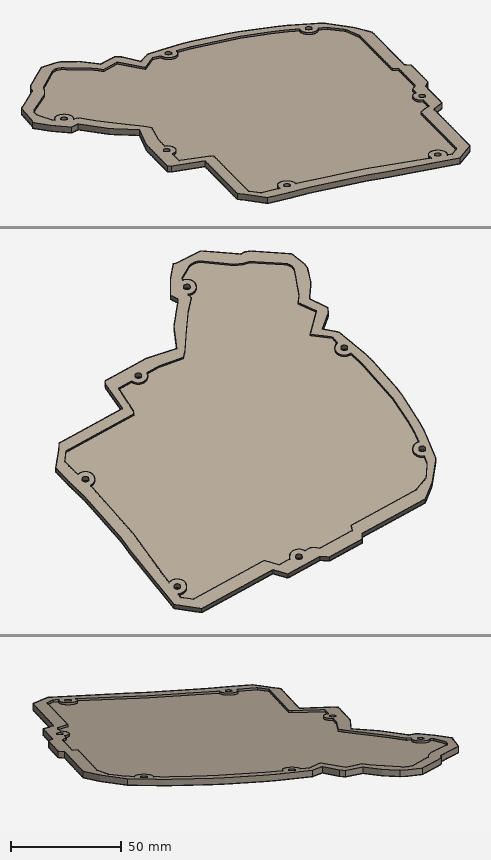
import cadquery as cq

WIDTH = 160.9
LENGTH = 179.3
THICKNESS = 3.0

RECESS_DEPTH = 1.0
FLOOR_HEIGHT = THICKNESS - RECESS_DEPTH

HOLE_DIAMETER = 3.0
PAD_DIAMETER = 8.6
MIDDLE_HOLE_X = 98.6
SCREW_POSITIONS = [
    (17.2, 152.0),
    (MIDDLE_HOLE_X, 171.3),
    (153.7, 153.9),
    (152.5, 79.3),
    (MIDDLE_HOLE_X, 44.0),
    (51.3, 14.5),
    (13.0, 84.1),
]

BACK_TAB_Y = LENGTH
BACK_EDGE_Y = 176.6
BACK_RIGHT_EDGE_Y = 170.7
FRONT_RIGHT_EDGE_Y = 55.4
FRONT_MIDDLE_EDGE_Y = 37.8

BACK_RIM = 6.6
FRONT_RIGHT_RIM = 5.5
FRONT_MIDDLE_RIM = 7.0

outer_back = [
    (24.7, 170.7),
    (32.6, BACK_EDGE_Y),
    (67.6, BACK_EDGE_Y),
    (69.2, BACK_TAB_Y),
    (87.3, BACK_TAB_Y),
    (90.7, BACK_EDGE_Y),
    (108.5, BACK_EDGE_Y),
    (112.6, BACK_RIGHT_EDGE_Y),
    (151.9, BACK_RIGHT_EDGE_Y),
]
outer_right = [
    (WIDTH, 161.5),
    (159.2, 124.3),
    (158.5, 116.2),
    (158.5, 87.5),
    (159.5, 76.2),
    (159.8, 66.2),
]
outer_front = [
    (152.5, 58.1),
    (150.5, FRONT_RIGHT_EDGE_Y),
    (115.3, FRONT_RIGHT_EDGE_Y),
    (113.7, 39.5),
    (112.8, FRONT_MIDDLE_EDGE_Y),
    (90.0, FRONT_MIDDLE_EDGE_Y),
    (75.3, 41.0),
]
outer_lobe = [
    (68.9, 29.4),
    (58.6, 18.1),
    (60.3, 14.2),
    (54.9, 6.5),
    (48.8, 0),
    (47.7, 0.5),
    (34.3, 1.0),
    (20.5, 13.0),
    (18.3, 13.0),
    (15.6, 14.2),
    (1.5, 26.0),
    (0, 34.0),
    (0.2, 36.8),
    (3.5, 44.3),
]
outer_notches = [
    (9.7, 51.8),
    (5.7, 60.8),
    (7.2, 63.3),
    (12.5, 67.6),
    (14.9, 69.4),
]
outer_left = [
    (9.7, 75.3),
    (7.0, 92.7),
    (6.6, 98.0),
    (6.6, 116.7),
    (7.0, 122.0),
    (9.5, 139.2),
    (10.5, 144.5),
    (15.2, 160.1),
]
outer_outline = outer_back + outer_right + outer_front + outer_lobe + outer_notches + outer_left

recess_back_y = BACK_EDGE_Y - BACK_RIM
recess_tab_y = BACK_TAB_Y - BACK_RIM
recess_back_right_y = BACK_RIGHT_EDGE_Y - BACK_RIM
recess_front_right_y = FRONT_RIGHT_EDGE_Y + FRONT_RIGHT_RIM
recess_front_middle_y = FRONT_MIDDLE_EDGE_Y + FRONT_MIDDLE_RIM

recess_back = [
    (20.0, 160.1),
    (25.3, 166.8),
    (33.2, recess_back_y),
    (68.9, recess_back_y),
    (70.1, recess_tab_y),
    (87.9, recess_tab_y),
    (91.1, recess_back_y),
    (108.7, recess_back_y),
    (112.8, recess_back_right_y),
    (151.9, recess_back_right_y),
]
recess_right = [
    (155.8, 160.1),
    (155.8, 157.8),
    (155.1, 146.0),
    (152.6, 117.8),
    (152.6, 82.1),
    (153.9, 73.5),
    (154.2, 65.5),
]
recess_front = [
    (150.5, recess_front_right_y),
    (113.0, recess_front_right_y),
    (112.0, 59.5),
    (110.1, recess_front_middle_y),
    (87.7, recess_front_middle_y),
    (75.9, 47.0),
]
recess_lobe = [
    (73.2, 44.3),
    (66.0, 35.1),
    (59.0, 26.5),
    (53.3, 20.8),
    (53.5, 17.5),
    (50.0, 9.0),
    (44.0, 5.4),
    (42.3, 4.8),
    (40.2, 4.8),
    (38.0, 5.5),
    (26.5, 16.0),
    (22.8, 18.0),
    (19.5, 18.8),
    (6.5, 29.4),
    (5.4, 31.7),
    (5.5, 34.0),
]
recess_notches = [
    (12.4, 47.5),
    (15.2, 50.7),
    (11.1, 59.4),
    (21.2, 68.9),
]
recess_left = [
    (13.8, 75.9),
    (13.8, 80.3),
    (12.2, 88.5),
    (11.5, 96.1),
    (11.5, 120.5),
    (13.3, 135.4),
    (14.5, 142.0),
    (16.1, 148.1),
    (18.8, 156.2),
]
recess_outline = (
    recess_back + recess_right + recess_front + recess_lobe + recess_notches + recess_left
)


def slab(outline, bottom, height):
    """Flat plate with the given outline, starting at the height `bottom`."""
    return cq.Workplane("XY").workplane(offset=bottom).polyline(outline).close().extrude(height)


def discs_at_screws(diameter, bottom, height):
    """One upright cylinder at every screw position."""
    plane = cq.Workplane("XY").workplane(offset=bottom)
    return plane.pushPoints(SCREW_POSITIONS).circle(diameter / 2).extrude(height)


plate = slab(outer_outline, 0, THICKNESS)

recess = slab(recess_outline, FLOOR_HEIGHT, RECESS_DEPTH)
pads = discs_at_screws(PAD_DIAMETER, FLOOR_HEIGHT, RECESS_DEPTH)
recess = recess.cut(pads)

screw_holes = discs_at_screws(HOLE_DIAMETER, 0, THICKNESS)

result = plate.cut(recess).cut(screw_holes)